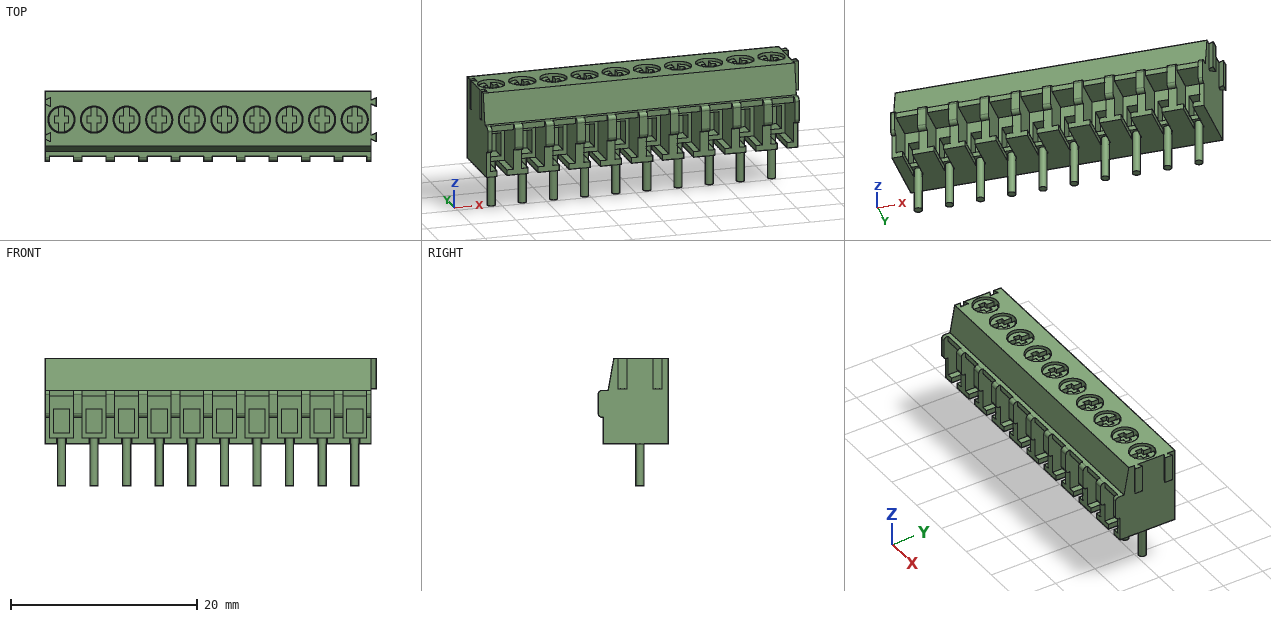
import cadquery as cq


pole_count = 10
total_length = 35.57
tail_length = 0.57
body_length = total_length - tail_length
pitch = body_length / pole_count
body_height = 9.18
body_depth = 7.0
top_depth = 5.87
slope_bottom_depth = 6.47
ledge_drop = 3.4
ledge_z = body_height - ledge_drop
pole_centers = [(i + 0.5) * pitch for i in range(pole_count)]

rib_reach = 0.55
rib_height = 2.9
rib_radius = 0.43

entry_width = 2.55
entry_floor_z = 0.65
entry_roof_thickness = 0.65
entry_roof_z = ledge_z - entry_roof_thickness
entry_depth = 3.2
window_width = 1.75
window_height = 2.6
window_sill = 0.55
window_floor_z = entry_floor_z + window_sill
window_depth = 1.78

screw_y = -3.05
screw_hole_diameter = 2.9
screw_head_diameter = 2.7
screw_hole_depth = 0.9
head_recess = 0.3
drive_depth = 0.55
slot_width = 0.65
cross_length = 1.53
cross_width = 0.75

pin_diameter = 0.9
pin_length = 4.5
pin_notch_width = 1.1

dovetail_positions = [-1.17, -4.95]
dovetail_height = 3.27
dovetail_root_width = 0.43
dovetail_tip_width = 0.95


def box(width, depth, height, x_center, y_front, z_bottom):
    """Box centred on x_center, running back from y_front and up from z_bottom."""
    return (
        cq.Workplane("XY")
        .box(width, depth, height, centered=(True, False, False))
        .translate((x_center, y_front, z_bottom))
    )


def housing():
    """Full-length block with its sloped upper front and the solid front bead."""
    block = (
        cq.Workplane("YZ")
        .polyline([
            (0, 0),
            (-body_depth, 0),
            (-body_depth, ledge_z),
            (-slope_bottom_depth, ledge_z),
            (-top_depth, body_height),
            (0, body_height),
        ])
        .close()
        .extrude(body_length)
    )
    bead_depth = body_depth + rib_reach - top_depth
    bead = box(
        body_length, bead_depth, rib_height,
        body_length / 2, -body_depth - rib_reach, ledge_z - rib_height,
    )
    return block.union(bead.edges("|X and <Y").fillet(rib_radius))


def wire_entry(x):
    """Gap between two ribs, with the wire chamber and clamp window behind it."""
    rib_gap = box(
        entry_width, rib_reach, body_height,
        x, -body_depth - rib_reach, 0,
    )
    chamber = box(
        entry_width, entry_depth, entry_roof_z - entry_floor_z,
        x, -body_depth, entry_floor_z,
    )
    window = box(
        window_width, entry_depth + window_depth, window_height,
        x, -body_depth, window_floor_z,
    )
    return rib_gap.union(chamber).union(window)


def pin_notch(x):
    """Slot in the chamber floor, open at the front and reaching back to the pin."""
    return box(
        pin_notch_width, body_depth + screw_y, entry_floor_z,
        x, -body_depth, 0,
    )


def cylinder(diameter, height, x, z_bottom):
    """Upright cylinder in the row shared by the screws and pins."""
    return (
        cq.Workplane("XY", origin=(x, screw_y, z_bottom))
        .circle(diameter / 2)
        .extrude(height)
    )


def screw_hole(x):
    """Blind hole in the top, slightly wider than the screw head inside it."""
    return cylinder(screw_hole_diameter, screw_hole_depth, x, body_height - screw_hole_depth)


def screw_head(x):
    """Sunken screw head with a through slot and a shorter cross slot."""
    head_height = screw_hole_depth - head_recess
    head = cylinder(screw_head_diameter, head_height, x, body_height - screw_hole_depth)
    drive_z = body_height - head_recess - drive_depth
    slot = box(
        slot_width, screw_head_diameter, drive_depth,
        x, screw_y - screw_head_diameter / 2, drive_z,
    )
    cross = box(
        cross_length, cross_width, drive_depth,
        x, screw_y - cross_width / 2, drive_z,
    )
    return head.cut(slot).cut(cross)


def pin(x):
    """Solder pin rising through the chamber floor level into the solid behind."""
    return cylinder(pin_diameter, pin_length + entry_floor_z, x, -pin_length)


def dovetail(x, y):
    """Upright dovetail with its narrow root at x, widening towards +X."""
    return (
        cq.Workplane("XY", origin=(x, y, body_height - dovetail_height))
        .polyline([
            (0, -dovetail_root_width / 2),
            (tail_length, -dovetail_tip_width / 2),
            (tail_length, dovetail_tip_width / 2),
            (0, dovetail_root_width / 2),
        ])
        .close()
        .extrude(dovetail_height)
    )


result = housing()
for x in pole_centers:
    result = result.cut(wire_entry(x)).cut(pin_notch(x)).cut(screw_hole(x))
    result = result.union(screw_head(x)).union(pin(x))
for y in dovetail_positions:
    result = result.cut(dovetail(0, y)).union(dovetail(body_length, y))